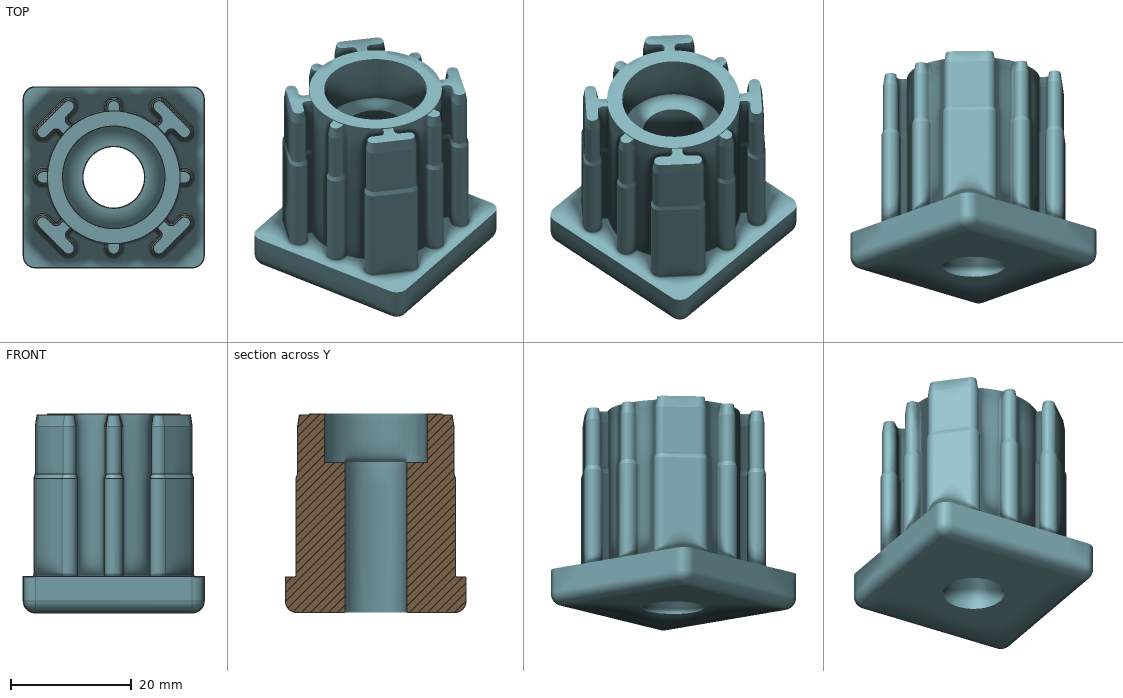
import cadquery as cq
import math

PLATE_SIDE = 30.0
PLATE_HEIGHT = 6.0
PLATE_ROUND = 2.0

TOTAL_HEIGHT = 33.0
TUBE_RADIUS = 11.0
BORE_RADIUS = 8.5
BORE_DEPTH = 8.0
HOLE_RADIUS = 5.1

RIB_REACH = 13.25
RIB_RADIUS = 1.5
STEP_INSET = 0.25
TIP_INSET = 0.55
STEP_START_Z = 22.3
STEP_END_Z = 23.0
TAPER_START_Z = 30.9
RIB_TOP_Z = 32.8
RIB_CENTRE = RIB_REACH - RIB_RADIUS
RIB_OVERLAP = 1.0

LOBE_NEAR_SIDE = 7.5
NECK_HALF_WIDTH = 1.4
LOBE_OFFSET = (RIB_CENTRE - LOBE_NEAR_SIDE) / math.sqrt(2)
LOBE_DISTANCE = (RIB_CENTRE + LOBE_NEAR_SIDE) / math.sqrt(2)

FULL_ROOT_ROUND = 0.3
STEP_ROOT_ROUND = 0.45
TIP_ROOT_ROUND = 0.05
ROOT_EMBED = 0.01
NECK_ROUND = 0.25
BASE_ROUND = 0.25
ARC_MID = math.sqrt(0.5)


def make_plate():
    plate = cq.Workplane("XY").rect(PLATE_SIDE, PLATE_SIDE).extrude(PLATE_HEIGHT)
    plate = plate.edges("|Z").fillet(PLATE_ROUND)
    return plate.faces("<Z").edges().fillet(PLATE_ROUND)


def root_points(half_width, root_round):
    """Left-hand root round of a +Y rib: inner point, tube tangent, arc middle, rib tangent."""
    centre_x = half_width + root_round
    tangent_radius = TUBE_RADIUS - ROOT_EMBED
    centre_distance = tangent_radius + root_round
    centre_y = math.sqrt(centre_distance ** 2 - centre_x ** 2)
    shrink = tangent_radius / centre_distance
    on_tube = (-centre_x * shrink, centre_y * shrink)
    inner = (on_tube[0], on_tube[1] - RIB_OVERLAP)
    mid_angle = math.atan2(-centre_y, centre_x) / 2
    middle = (
        -centre_x + root_round * math.cos(mid_angle),
        centre_y + root_round * math.sin(mid_angle),
    )
    return inner, on_tube, middle, (-half_width, centre_y)


def mirrored(point):
    return (-point[0], point[1])


def straight_outline(z, inset, root_round):
    """Round-ended rib pointing along +Y."""
    radius = RIB_RADIUS - inset
    inner, on_tube, middle, on_rib = root_points(radius, root_round)
    return (
        cq.Workplane("XY", origin=(0, 0, z))
        .moveTo(*inner)
        .lineTo(*on_tube)
        .threePointArc(middle, on_rib)
        .lineTo(-radius, RIB_CENTRE)
        .threePointArc((0, RIB_CENTRE + radius), (radius, RIB_CENTRE))
        .lineTo(*mirrored(on_rib))
        .threePointArc(mirrored(middle), mirrored(on_tube))
        .lineTo(*mirrored(inner))
        .close()
    )


def t_outline(z, inset, root_round):
    """T-shaped rib pointing along +Y, with a round-ended head."""
    radius = RIB_RADIUS - inset
    neck = NECK_HALF_WIDTH - inset
    inner, on_tube, middle, on_neck = root_points(neck, root_round)
    neck_round = NECK_ROUND + inset
    under = LOBE_DISTANCE - radius
    outer = LOBE_DISTANCE + radius
    neck_end = (-neck, under - neck_round)
    neck_mid = (
        -neck - neck_round * (1 - ARC_MID),
        under - neck_round * (1 - ARC_MID),
    )
    head_start = (-neck - neck_round, under)
    lobe_tip = (-LOBE_OFFSET - radius, LOBE_DISTANCE)
    return (
        cq.Workplane("XY", origin=(0, 0, z))
        .moveTo(*inner)
        .lineTo(*on_tube)
        .threePointArc(middle, on_neck)
        .lineTo(*neck_end)
        .threePointArc(neck_mid, head_start)
        .lineTo(-LOBE_OFFSET, under)
        .threePointArc(lobe_tip, (-LOBE_OFFSET, outer))
        .lineTo(LOBE_OFFSET, outer)
        .threePointArc(mirrored(lobe_tip), (LOBE_OFFSET, under))
        .lineTo(*mirrored(head_start))
        .threePointArc(mirrored(neck_mid), mirrored(neck_end))
        .lineTo(*mirrored(on_neck))
        .threePointArc(mirrored(middle), mirrored(on_tube))
        .lineTo(*mirrored(inner))
        .close()
    )


def make_rib(outline):
    """Stack the full, stepped and tapered stretches of one rib."""
    sections = [
        (PLATE_HEIGHT, 0, FULL_ROOT_ROUND),
        (STEP_START_Z, 0, FULL_ROOT_ROUND),
        (STEP_END_Z, STEP_INSET, STEP_ROOT_ROUND),
        (TAPER_START_Z, STEP_INSET, STEP_ROOT_ROUND),
        (RIB_TOP_Z, TIP_INSET, TIP_ROOT_ROUND),
    ]
    wires = [outline(*section).wire().val() for section in sections]
    return cq.Workplane(cq.Solid.makeLoft(wires, True))


def make_body():
    tube_height = TOTAL_HEIGHT - PLATE_HEIGHT
    body = cq.Workplane("XY", origin=(0, 0, PLATE_HEIGHT)).circle(TUBE_RADIUS).extrude(tube_height)
    straight_rib = make_rib(straight_outline)
    t_rib = make_rib(t_outline)
    for quarter in range(4):
        angle = 90 * quarter
        body = body.union(straight_rib.rotate((0, 0, 0), (0, 0, 1), angle))
        body = body.union(t_rib.rotate((0, 0, 0), (0, 0, 1), angle + 45))
    return body


def round_base(part):
    """Round the whole foot line where the tube and ribs meet the plate."""
    plate_top = part.faces("+Z").faces("<Z")
    foot = plate_top.val().innerWires()[0].Edges()
    return part.newObject(foot).fillet(BASE_ROUND)


def cut_bore(part):
    bore_floor_z = TOTAL_HEIGHT - BORE_DEPTH
    bore = cq.Workplane("XY", origin=(0, 0, bore_floor_z)).circle(BORE_RADIUS).extrude(BORE_DEPTH)
    hole = cq.Workplane("XY").circle(HOLE_RADIUS).extrude(TOTAL_HEIGHT)
    return part.cut(bore).cut(hole)


result = round_base(cut_bore(make_plate().union(make_body())))